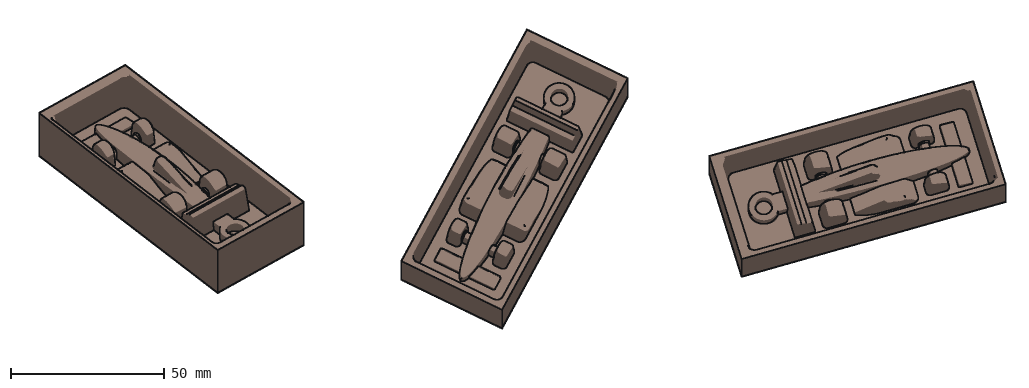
import cadquery as cq
import math

LENGTH = 90.0
WIDTH = 37.0
HEIGHT = 18.5
FLOOR_Z = 5.4

POCKET_CENTRE_X = 44.55
POCKET_LENGTH = 87.8
POCKET_WIDTH = 36.5
POCKET_DRAFT = 7.0
RIM_RADIUS = 2.0
POCKET_CORNER_RADIUS = 2.25

CAR_DRAFT = 5.0
EMBED = 0.9

NOSE_X = 6.8
BODY_WIDEST_X = 39.6
BODY_END_X = 65.7
BODY_HALF_WIDTH = 5.0
BODY_END_TAPER = 1.8
BODY_TOP_Z = 10.6
BODY_TOP_RADIUS = 189.9
BODY_EDGE_RADIUS = 0.6

WHEEL_AXIS_Z = 9.7
WHEEL_EDGE_RADIUS = 1.1
FRONT_WHEEL_X = 20.6
FRONT_WHEEL_RADIUS = 3.6
FRONT_WHEEL_INNER_Y = 6.3
FRONT_WHEEL_OUTER_Y = 10.6
REAR_WHEEL_X = 55.9
REAR_WHEEL_RADIUS = 3.9
REAR_WHEEL_INNER_Y = 5.5
REAR_WHEEL_OUTER_Y = 11.8
AXLE_AXIS_Z = 7.2
AXLE_RADIUS = 1.6
AXLE_INNER_Y = 2.7
AXLE_FLARE = 0.5

POD_FRONT_X = 27.4
POD_END_X = 49.0
POD_OUTER_Y = 12.1
POD_TOP_Z = 9.9
POD_END_Z = 6.1
POD_FRONT_SETBACK = 3.0
POD_TOP_END_X = 38.9
POD_SHOULDER_RADIUS = 3.9
POD_EDGE_RADIUS = 2.0

AIRBOX_FRONT_X = 36.6
AIRBOX_ROUND_X = 40.0
AIRBOX_AXIS_Z = 13.0
AIRBOX_RADIUS = 2.2
AIRBOX_SLOPE = 15.8
AIRBOX_LEAN = 15.0
AIRBOX_END_X = 62.1
AIRBOX_FOOT_Z = 8.1
AIRBOX_FOOT_RADIUS = 0.45
AIRBOX_EDGE_RADIUS = 1.8

FRONT_WING_X = 8.9
FRONT_WING_END_X = 13.9
FRONT_WING_HALF_SPAN = 11.1
FRONT_WING_FRONT_Z = 6.4
FRONT_WING_REAR_Z = 7.1
FRONT_WING_EDGE_RADIUS = 0.5
REAR_WING_HALF_SPAN = 12.2
REAR_WING_EDGE_RADIUS = 0.45
REAR_WING_PROFILE = [
    (62.9, FLOOR_Z),
    (63.9, 13.5),
    (65.8, 14.0),
    (67.5, 15.2),
    (69.0, 14.9),
    (70.0, FLOOR_Z),
]

RING_X = 76.95
RING_OUTER_RADIUS = 5.0
RING_HOLE_RADIUS = 2.8
RING_TOP_Z = 8.8
STEM_START_X = 63.9
STEM_HALF_WIDTH = 3.15
RING_EDGE_RADIUS = 0.4


def mirrored(shape):
    """Join a feature with its mirror image across the car's centre plane."""
    return shape.union(shape.mirror("XZ"))


def draft_run(z):
    """Sideways lean of a drafted face between the floor and height z."""
    return (z - FLOOR_Z) * math.tan(math.radians(CAR_DRAFT))


def tray():
    """Plain outer block."""
    return cq.Workplane("XY").box(LENGTH, WIDTH, HEIGHT, centered=(False, True, False))


def pocket_prism(plane, opening):
    """Pocket cross-section across one direction: drafted walls flaring into a rounded rim."""
    draft = math.radians(POCKET_DRAFT)
    half_rim = opening / 2
    arc_centre_z = HEIGHT - RIM_RADIUS
    wall_top_x = half_rim - RIM_RADIUS * math.cos(draft)
    wall_top_z = arc_centre_z + RIM_RADIUS * math.sin(draft)
    mid_angle = (math.pi / 2 + draft) / 2
    mid = (half_rim - RIM_RADIUS * math.cos(mid_angle), arc_centre_z + RIM_RADIUS * math.sin(mid_angle))
    floor_x = wall_top_x - (wall_top_z - FLOOR_Z) * math.tan(draft)
    return (
        cq.Workplane(plane)
        .moveTo(-floor_x, FLOOR_Z)
        .lineTo(floor_x, FLOOR_Z)
        .lineTo(wall_top_x, wall_top_z)
        .threePointArc(mid, (half_rim, HEIGHT))
        .lineTo(-half_rim, HEIGHT)
        .threePointArc((-mid[0], mid[1]), (-wall_top_x, wall_top_z))
        .close()
        .extrude(LENGTH, both=True)
    )


def pocket():
    """Cavity with mitred sides and rounded upright corners."""
    along = pocket_prism("XZ", POCKET_LENGTH)
    across = pocket_prism("YZ", POCKET_WIDTH)
    cavity = along.intersect(across)
    corners = cavity.edges("not(|X or |Y)")
    return corners.fillet(POCKET_CORNER_RADIUS).translate((POCKET_CENTRE_X, 0, 0))


def body():
    """Boat-shaped hull with an arched top and a rounded top edge."""
    end_half_width = BODY_HALF_WIDTH - BODY_END_TAPER
    mid_x = (BODY_WIDEST_X + BODY_END_X) / 2
    mid_half_width = BODY_HALF_WIDTH - BODY_END_TAPER / 4
    outline = (
        cq.Workplane("XY")
        .workplane(offset=FLOOR_Z)
        .moveTo(BODY_WIDEST_X, -BODY_HALF_WIDTH)
        .threePointArc((mid_x, -mid_half_width), (BODY_END_X, -end_half_width))
        .lineTo(BODY_END_X, end_half_width)
        .threePointArc((mid_x, mid_half_width), (BODY_WIDEST_X, BODY_HALF_WIDTH))
        .ellipseArc(BODY_WIDEST_X - NOSE_X, BODY_HALF_WIDTH, 90, 270, startAtCurrent=True)
        .close()
    )
    hull = outline.extrude(BODY_TOP_Z - FLOOR_Z + EMBED, taper=CAR_DRAFT)
    arch = (
        cq.Workplane("XZ")
        .center(BODY_WIDEST_X, BODY_TOP_Z - BODY_TOP_RADIUS)
        .circle(BODY_TOP_RADIUS)
        .extrude(WIDTH, both=True)
    )
    return hull.intersect(arch).faces("%CYLINDER").edges("not(>X)").fillet(BODY_EDGE_RADIUS)


def wheel(centre_x, radius, inner_y, outer_y):
    """Tyre standing on the floor: round above its axis, drafted block below it."""
    width = outer_y - inner_y
    middle_y = (inner_y + outer_y) / 2
    tyre = (
        cq.Workplane("XZ", origin=(centre_x, outer_y, WHEEL_AXIS_Z))
        .circle(radius)
        .extrude(width)
        .edges()
        .fillet(WHEEL_EDGE_RADIUS)
    )
    upper_half = cq.Workplane("XY", origin=(centre_x, middle_y, WHEEL_AXIS_Z)).box(
        3 * radius, 3 * width, 2 * radius, centered=(True, True, False)
    )
    base = (
        cq.Workplane("XY", origin=(centre_x, middle_y, WHEEL_AXIS_Z))
        .sketch()
        .rect(2 * radius, width)
        .vertices()
        .fillet(WHEEL_EDGE_RADIUS)
        .finalize()
        .extrude(FLOOR_Z - WHEEL_AXIS_Z, taper=-CAR_DRAFT)
    )
    return tyre.intersect(upper_half).union(base)


def axle(centre_x, wheel_inner_y):
    """Round-topped axle with straight legs, flared where it meets the wheel."""
    leg_spread = draft_run(AXLE_AXIS_Z)

    def section(grow, y):
        half = AXLE_RADIUS + grow
        return (
            cq.Workplane("XZ", origin=(centre_x, y, AXLE_AXIS_Z))
            .moveTo(-half - leg_spread, FLOOR_Z - AXLE_AXIS_Z)
            .lineTo(-half, 0)
            .threePointArc((0, half), (half, 0))
            .lineTo(half + leg_spread, FLOOR_Z - AXLE_AXIS_Z)
            .close()
        )

    bar = section(0, wheel_inner_y + EMBED).extrude(wheel_inner_y + EMBED - AXLE_INNER_Y)
    flare = section(AXLE_FLARE, wheel_inner_y + EMBED).extrude(EMBED + AXLE_FLARE)
    flare = flare.faces("<Y").edges("not(<Z)").chamfer(AXLE_FLARE)
    return bar.union(flare)


def side_pod():
    """Pod with a leaning front, a flat top and a rear ramp with a big rounded shoulder."""
    height = POD_TOP_Z - FLOOR_Z
    ramp_slope = (POD_TOP_Z - POD_END_Z) / (POD_END_X - POD_TOP_END_X)
    front_slope = height / POD_FRONT_SETBACK
    ramp_z_over_foot = POD_END_Z + ramp_slope * (POD_END_X - POD_FRONT_X)
    peak_run = (ramp_z_over_foot - FLOOR_Z) / (front_slope + ramp_slope)
    wedge = (
        cq.Workplane("XZ")
        .moveTo(POD_FRONT_X, FLOOR_Z)
        .lineTo(POD_END_X, FLOOR_Z)
        .lineTo(POD_END_X, POD_END_Z)
        .lineTo(POD_FRONT_X + peak_run, FLOOR_Z + front_slope * peak_run)
        .close()
        .extrude(-POD_OUTER_Y)
    )
    wedge = wedge.faces(">Y").edges("not(|X or |Z)").edges(">X").fillet(POD_SHOULDER_RADIUS)
    wedge = wedge.faces("<X").edges("not(<Y or <Z or >Z)").fillet(POD_EDGE_RADIUS)
    layer = cq.Workplane("XY").box(2 * LENGTH, WIDTH, height, centered=(True, True, False))
    pod = wedge.intersect(layer.translate((0, 0, FLOOR_Z)))
    return pod.faces(">Z").edges("not(<Y)").fillet(POD_EDGE_RADIUS)


def airbox():
    """Round-topped fairing that slopes down towards the rear."""
    depth = AIRBOX_AXIS_Z - FLOOR_Z
    spread = draft_run(AIRBOX_AXIS_Z)
    length = AIRBOX_END_X - AIRBOX_FRONT_X
    fairing = (
        cq.Workplane("YZ", origin=(AIRBOX_ROUND_X, 0, AIRBOX_AXIS_Z))
        .transformed(rotate=(AIRBOX_SLOPE, 0, 0))
        .moveTo(-AIRBOX_RADIUS - spread, -depth)
        .lineTo(-AIRBOX_RADIUS, 0)
        .threePointArc((0, AIRBOX_RADIUS), (AIRBOX_RADIUS, 0))
        .lineTo(AIRBOX_RADIUS + spread, -depth)
        .close()
        .extrude(length, both=True)
    )
    front_lean = (HEIGHT - AIRBOX_FOOT_Z) * math.tan(math.radians(AIRBOX_LEAN))
    side = (
        cq.Workplane("XZ")
        .moveTo(AIRBOX_FRONT_X, AIRBOX_FOOT_Z)
        .lineTo(AIRBOX_FRONT_X + front_lean, HEIGHT)
        .lineTo(AIRBOX_END_X, HEIGHT)
        .lineTo(AIRBOX_END_X, AIRBOX_FOOT_Z)
        .close()
        .extrude(WIDTH / 2, both=True)
    )
    return fairing.intersect(side).faces("<X").edges("not(<Z)").fillet(AIRBOX_EDGE_RADIUS)


def body_with_airbox():
    """Body and airbox joined, with a small fillet around the airbox foot."""
    joined = body().union(airbox())
    foot_zone = cq.selectors.BoxSelector(
        (AIRBOX_FRONT_X, -AIRBOX_RADIUS - EMBED, BODY_TOP_Z - EMBED),
        (AIRBOX_END_X, AIRBOX_RADIUS + EMBED, BODY_TOP_Z + EMBED / 2),
    )
    return joined.edges(foot_zone).fillet(AIRBOX_FOOT_RADIUS)


def drafted_ends(half_span):
    """Block that trims a wing to its span, with ends leaning inward towards the top."""
    return (
        cq.Workplane("XY")
        .workplane(offset=FLOOR_Z)
        .center(LENGTH / 2, 0)
        .rect(2 * LENGTH, 2 * half_span)
        .extrude(HEIGHT, taper=CAR_DRAFT)
    )


def front_wing():
    """Low wing whose top rises towards the rear, with all upper edges rounded."""
    wing = (
        cq.Workplane("XZ")
        .moveTo(FRONT_WING_X, FLOOR_Z)
        .lineTo(FRONT_WING_X + draft_run(FRONT_WING_FRONT_Z), FRONT_WING_FRONT_Z)
        .lineTo(FRONT_WING_END_X - draft_run(FRONT_WING_REAR_Z), FRONT_WING_REAR_Z)
        .lineTo(FRONT_WING_END_X, FLOOR_Z)
        .close()
        .extrude(WIDTH / 2, both=True)
    )
    wing = wing.intersect(drafted_ends(FRONT_WING_HALF_SPAN))
    return wing.edges("not(<Z)").fillet(FRONT_WING_EDGE_RADIUS)


def rear_wing():
    """Tall wing of constant section, with rounded outer edges."""
    wing = (
        cq.Workplane("XZ")
        .polyline(REAR_WING_PROFILE)
        .close()
        .extrude(WIDTH / 2, both=True)
    )
    wing = wing.intersect(drafted_ends(REAR_WING_HALF_SPAN))
    return wing.faces("<X or >X or <Y or >Y").edges("not(<Z)").fillet(REAR_WING_EDGE_RADIUS)


def key_ring():
    """Ring on a stem, with a plain hole down to the floor."""
    height = RING_TOP_Z - FLOOR_Z
    base = cq.Workplane("XY").workplane(offset=FLOOR_Z)
    ring = base.center(RING_X, 0).circle(RING_OUTER_RADIUS).extrude(height)
    stem_length = RING_X - STEM_START_X
    stem_centre_x = (STEM_START_X + RING_X) / 2
    stem = base.center(stem_centre_x, 0).rect(stem_length, 2 * STEM_HALF_WIDTH).extrude(height)
    hole = base.center(RING_X, 0).circle(RING_HOLE_RADIUS).extrude(height)
    lug = ring.union(stem).cut(hole)
    return lug.faces(">Z").edges("not(<X)").fillet(RING_EDGE_RADIUS)


result = tray().cut(pocket())
for part in (
    body_with_airbox(),
    mirrored(side_pod()),
    mirrored(wheel(FRONT_WHEEL_X, FRONT_WHEEL_RADIUS, FRONT_WHEEL_INNER_Y, FRONT_WHEEL_OUTER_Y)),
    mirrored(wheel(REAR_WHEEL_X, REAR_WHEEL_RADIUS, REAR_WHEEL_INNER_Y, REAR_WHEEL_OUTER_Y)),
    mirrored(axle(FRONT_WHEEL_X, FRONT_WHEEL_INNER_Y)),
    mirrored(axle(REAR_WHEEL_X, REAR_WHEEL_INNER_Y)),
    front_wing(),
    rear_wing(),
    key_ring(),
):
    result = result.union(part)